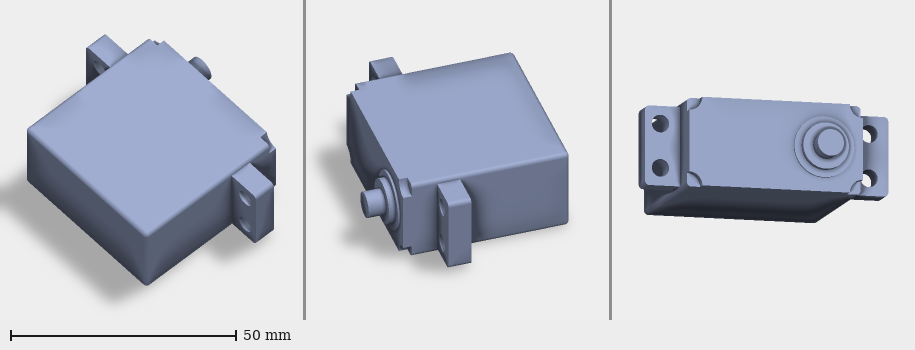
import cadquery as cq

case_width = 40.0
case_depth = 39.0
case_height = 20.0
edge_radius = 1.0

relief_radius = 3.0
relief_depth = 2.0

ear_span = 56.0
ear_height = case_height - 2 * edge_radius
ear_thickness = 5.4
ear_setback = 7.95
hole_diameter = 4.0
hole_spacing_x = 48.0
hole_spacing_z = case_height / 2
hole_shift_x = 0.45

shaft_x = -11.0
shaft_steps = [(13.8, 0.5), (10.5, 2.0), (6.0, 6.05)]


def face_plane(y):
    """Workplane at the given Y, facing +Y, whose local x runs along +Z and local y along +X."""
    return cq.Workplane(cq.Plane(origin=(0, y, 0), xDir=(0, 0, 1), normal=(0, 1, 0)))


def make_case():
    case = face_plane(-case_depth).rect(case_height, case_width).extrude(case_depth)
    case = case.edges("|Y or <Y").fillet(edge_radius)
    reliefs = (
        face_plane(-relief_depth)
        .rect(case_height, case_width, forConstruction=True)
        .vertices()
        .circle(relief_radius)
        .extrude(relief_depth)
    )
    return case.cut(reliefs)


def make_ears():
    plate = face_plane(-ear_setback - ear_thickness).rect(ear_height, ear_span).extrude(ear_thickness)
    return plate.edges("|Y").fillet(edge_radius)


def make_ear_holes():
    return (
        face_plane(-ear_setback - ear_thickness)
        .center(0, hole_shift_x)
        .rect(hole_spacing_z, hole_spacing_x, forConstruction=True)
        .vertices()
        .circle(hole_diameter / 2)
        .extrude(ear_thickness)
    )


def make_shaft():
    shaft = cq.Workplane()
    for diameter, end in shaft_steps:
        step = face_plane(-relief_depth).center(0, shaft_x).circle(diameter / 2).extrude(relief_depth + end)
        shaft = shaft.add(step)
    return shaft.combine()


result = make_case().union(make_ears().cut(make_ear_holes())).union(make_shaft())